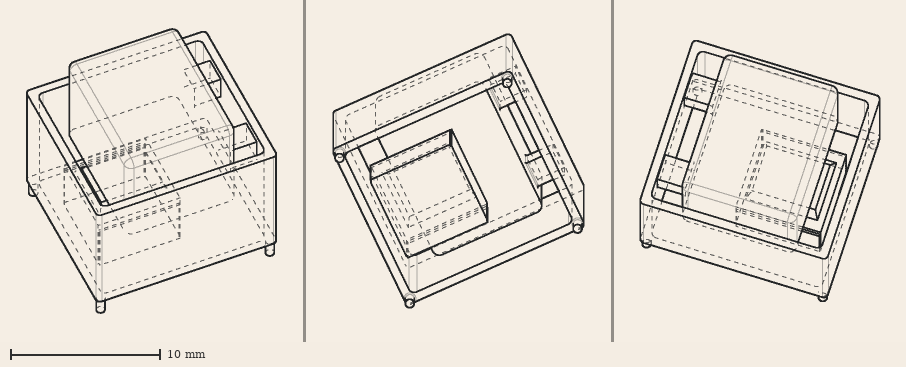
import cadquery as cq

housing_width = 12.0
housing_length = 13.2
housing_height = 9.0
wall = 0.6
housing_corner_radius = 0.3
cavity_corner_radius = 0.4
pin_diameter = 0.6
pin_length = 1.3
pin_inset = 0.4
pin_root_fillet = 0.09

overall_height = 13.3
cap_width = 10.0
cap_length = 8.0
cap_edge_radius = 0.5
arm_width = 1.8
arm_spacing = 6.0
arm_drop = 0.56
arm_root_fillet = 0.1

switch_width = 5.98
switch_front = 5.17
switch_height = 3.99
shoulder_side_step = 0.15
shoulder_front_step = 0.05
shoulder_drop = 0.5

plunger_width = 4.22
plunger_front = 4.71
plunger_side_taper = 0.47
plunger_front_taper = 0.29
plunger_height = 0.7

cavity_width = housing_width - 2 * wall
cavity_length = housing_length - 2 * wall
housing_bottom = pin_length
housing_top = housing_bottom + housing_height
switch_top = housing_bottom + switch_height
plunger_top = switch_top + plunger_height
switch_center = switch_width / 2 - switch_front


def make_pin(x, y):
    """A round pin below the housing, with its root flaring into the housing corner."""
    radius = pin_diameter / 2
    flare_radius = radius + pin_root_fillet
    arc_offset = pin_root_fillet * (1 - 0.5**0.5)
    return (
        cq.Workplane("XZ")
        .lineTo(radius, 0)
        .lineTo(radius, pin_length - pin_root_fillet)
        .threePointArc(
            (radius + arc_offset, pin_length - arc_offset),
            (flare_radius, pin_length),
        )
        .lineTo(0, pin_length)
        .close()
        .revolve(360, (0, 0), (0, 1))
        .translate((x, y, 0))
    )


def make_housing():
    """An open rectangular frame with a pin under each corner."""
    frame = (
        cq.Workplane("XY", origin=(0, 0, housing_bottom))
        .rect(housing_width, housing_length)
        .extrude(housing_height)
        .edges("|Z")
        .fillet(housing_corner_radius)
    )
    cavity = (
        cq.Workplane("XY", origin=(0, 0, housing_bottom))
        .rect(cavity_width, cavity_length)
        .extrude(housing_height)
        .edges("|Z")
        .fillet(cavity_corner_radius)
    )
    body = frame.cut(cavity)
    for x_side in (-1, 1):
        for y_side in (-1, 1):
            x = x_side * (housing_width / 2 - pin_inset)
            y = y_side * (housing_length / 2 - pin_inset)
            body = body.union(make_pin(x, y))
    return body


def make_key():
    """The rounded cap with its two square arms."""
    cap = (
        cq.Workplane("XY", origin=(0, 0, plunger_top))
        .rect(cap_width, cap_length)
        .extrude(overall_height - plunger_top)
        .edges("|Z or >Z")
        .fillet(cap_edge_radius)
    )
    arm_length = (cavity_length - cap_length) / 2
    arm_top = housing_top - arm_drop
    arms = (
        cq.Workplane("XZ", origin=(0, cavity_length / 2, arm_top - arm_width / 2))
        .pushPoints([(-arm_spacing / 2, 0), (arm_spacing / 2, 0)])
        .rect(arm_width, arm_width)
        .extrude(arm_length)
    )
    body = cap.union(arms)
    root_tolerance = 0.01
    arm_roots = cq.selectors.BoxSelector(
        (-cap_width / 2, cap_length / 2 - root_tolerance, arm_top - arm_width - root_tolerance),
        (cap_width / 2, cap_length / 2 + root_tolerance, arm_top + root_tolerance),
        boundingbox=True,
    )
    roots = body.edges(arm_roots)
    return body.newObject(roots.vals()).fillet(arm_root_fillet)


def make_switch():
    """A square block with a shallow step around its top edge."""
    base_length = switch_width - 2 * shoulder_front_step
    base = (
        cq.Workplane("XY", origin=(0, switch_center, housing_bottom))
        .rect(switch_width, base_length)
        .extrude(switch_height - shoulder_drop)
    )
    upper_width = switch_width - 2 * shoulder_side_step
    upper = (
        cq.Workplane("XY", origin=(0, switch_center, housing_bottom))
        .rect(upper_width, switch_width)
        .extrude(switch_height)
    )
    return base.union(upper)


def make_plunger():
    """A tapered block that fills the gap between switch and cap."""
    plunger_length = 2 * (plunger_front + switch_center)
    return (
        cq.Workplane("XY", origin=(0, switch_center, switch_top))
        .rect(plunger_width, plunger_length)
        .workplane(offset=plunger_height)
        .rect(plunger_width - 2 * plunger_side_taper, plunger_length - 2 * plunger_front_taper)
        .loft()
    )


housing = make_housing()
key = make_key()
switch = make_switch()
plunger = make_plunger()

result = cq.Compound.makeCompound([housing.val(), key.val(), switch.val(), plunger.val()])